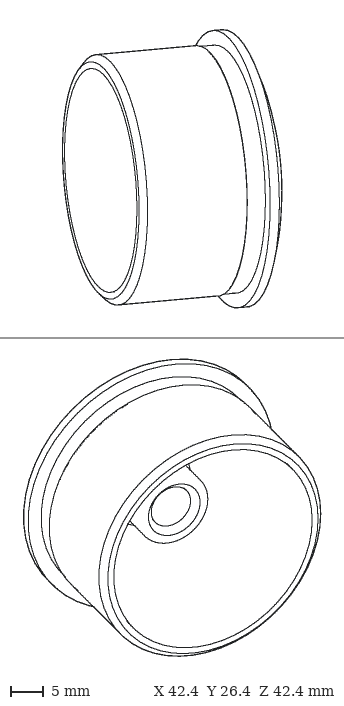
import cadquery as cq
import math


flange_radius = 21.2
neck_radius = 18.95
body_radius = 19.145
rim_chamfer = 1.0
body_length = 17.05
neck_length = 2.95
flange_thickness = 1.5
dome_height = 4.85

cavity_radius = 17.11
cavity_depth = 20.5
cavity_fillet = 0.5

boss_radius = 6.0
boss_height = 7.95
boss_flare = 1.0
boss_edge_fillet = 0.5
hole_radius = 3.4
countersink_depth = 1.05

flange_start = body_length + neck_length
flange_end = flange_start + flange_thickness
dome_top = flange_end + dome_height
boss_face = cavity_depth - boss_height


def dome_arc_middle():
    """Middle point of the dome arc, which runs from the flange edge to the hole edge."""
    centre_y = (flange_end + dome_top) / 2 - (flange_radius**2 - hole_radius**2) / (2 * dome_height)
    sphere_radius = math.hypot(flange_radius, flange_end - centre_y)
    middle_radius = (flange_radius + hole_radius) / 2
    return middle_radius, centre_y + math.sqrt(sphere_radius**2 - middle_radius**2)


def add_outside(outline):
    """Rim, chamfer, body, neck, flange and dome, ending at the outer edge of the hole."""
    return (
        outline.moveTo(cavity_radius, 0)
        .lineTo(body_radius - rim_chamfer, 0)
        .lineTo(body_radius, rim_chamfer)
        .lineTo(body_radius, body_length)
        .lineTo(neck_radius, body_length)
        .lineTo(neck_radius, flange_start)
        .lineTo(flange_radius, flange_start)
        .lineTo(flange_radius, flange_end)
        .threePointArc(dome_arc_middle(), (hole_radius, dome_top))
    )


def add_hole_and_boss(outline):
    """Through hole, countersink and boss, ending where the boss flare meets the floor."""
    return (
        outline.lineTo(hole_radius, boss_face + countersink_depth)
        .lineTo(hole_radius + countersink_depth, boss_face)
        .lineTo(boss_radius - boss_edge_fillet, boss_face)
        .radiusArc((boss_radius, boss_face + boss_edge_fillet), -boss_edge_fillet)
        .lineTo(boss_radius, cavity_depth - boss_flare)
        .lineTo(boss_radius + boss_flare, cavity_depth)
    )


def add_cavity(outline):
    """Cavity floor, its corner fillet and the cavity wall back to the rim."""
    return (
        outline.lineTo(cavity_radius - cavity_fillet, cavity_depth)
        .radiusArc((cavity_radius, cavity_depth - cavity_fillet), cavity_fillet)
        .close()
    )


half_section = add_cavity(add_hole_and_boss(add_outside(cq.Workplane("XY"))))
result = half_section.revolve(360, (0, 0, 0), (0, 1, 0))